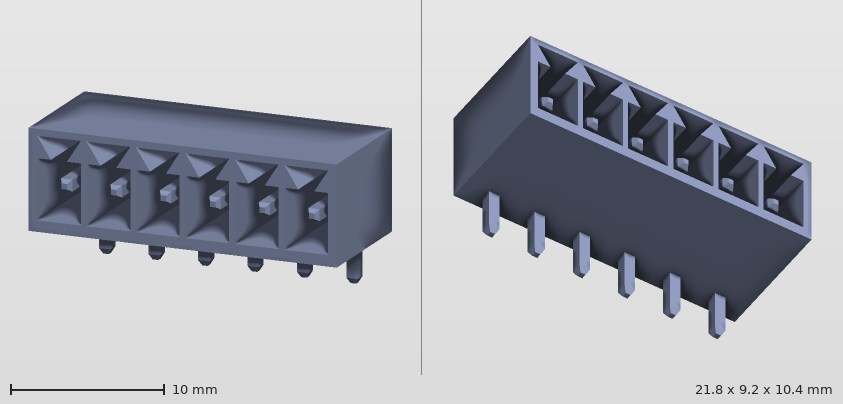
import cadquery as cq

length = 21.8
depth = 9.2
height = 7.0

socket_count = 6
end_margin = 2.14
row_length = 17.5
pitch = row_length / (socket_count - 1)

socket_width = 3.1
socket_depth = 6.98
floor_height = 0.78
ledge_height = 5.0
keyway_top = 6.52
neck_width = 1.13

pin_width = 0.8
tip_width = 0.4
taper_length = 0.4
contact_height = 3.0
contact_setback = 0.9
leg_inset = 1.2
leg_length = 3.4
leg_y = depth - leg_inset


def socket(x):
    """Cavity to be cut, open at the front face."""
    half_width = socket_width / 2
    half_neck = neck_width / 2
    outline = [
        (x - half_width, floor_height),
        (x + half_width, floor_height),
        (x + half_width, ledge_height),
        (x + half_neck, ledge_height),
        (x + half_width, keyway_top),
        (x - half_width, keyway_top),
        (x - half_neck, ledge_height),
        (x - half_width, ledge_height),
    ]
    return cq.Workplane("XZ").polyline(outline).close().extrude(-socket_depth)


def tapered_bar(tip, direction, bar_length):
    """Square bar that starts at its narrow tip and runs along the direction."""
    plane = cq.Plane(origin=tip, xDir=(1, 0, 0), normal=direction)
    taper = (
        cq.Workplane(plane)
        .rect(tip_width, tip_width)
        .workplane(offset=taper_length)
        .rect(pin_width, pin_width)
        .loft(ruled=True)
    )
    shank = (
        cq.Workplane(plane)
        .workplane(offset=taper_length)
        .rect(pin_width, pin_width)
        .extrude(bar_length - taper_length)
    )
    return taper.union(shank)


def pin(x):
    """Contact running back from the socket, joined to a leg running down."""
    contact_length = leg_y + pin_width / 2 - contact_setback
    contact_tip = (x, contact_setback, contact_height)
    contact = tapered_bar(contact_tip, (0, 1, 0), contact_length)
    full_leg_length = leg_length + contact_height + pin_width / 2
    leg_tip = (x, leg_y, -leg_length)
    leg = tapered_bar(leg_tip, (0, 0, 1), full_leg_length)
    return contact.union(leg)


socket_centres = [end_margin + index * pitch for index in range(socket_count)]

result = cq.Workplane("XY").box(length, depth, height, centered=False)
for centre in socket_centres:
    result = result.cut(socket(centre)).union(pin(centre))